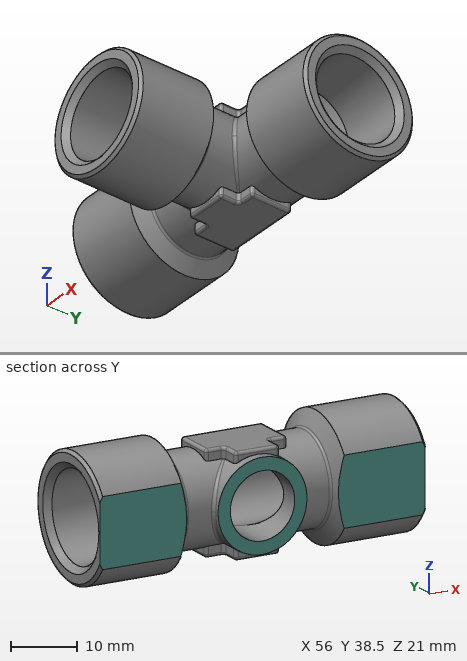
import cadquery as cq
import math

length = 56.0
reach = length / 2
socket_diameter = 21.0
socket_radius = socket_diameter / 2
socket_length = 14.0
rim_chamfer = 0.5

neck_radius = 7.7
shoulder_angle = 60.0
shoulder_fillet = 0.5
crotch_fillet = 0.5

bore_radius = 5.5
thread_radius = 7.5
mouth_radius = 8.5
thread_depth = 12.0
drill_angle = 60.0

pad_height = 8.5
pad_half_length = 7.0
pad_half_width = 3.8
pad_stem_reach = 7.2
pad_fillet = 0.5


def cone_length(large_radius, small_radius, angle):
    """Axial length of a cone whose side makes the given angle with its axis."""
    return (large_radius - small_radius) / math.tan(math.radians(angle))


def revolve_about_y(profile):
    """Close a half profile that starts and ends on the Y axis and spin it a full turn."""
    return profile.close().revolve(360, (0, 0, 0), (0, 1, 0))


def branch_body():
    """Neck, shoulder and socket of one branch, running from the origin toward -Y."""
    shoulder_start = -(reach - socket_length)
    shoulder_end = shoulder_start + cone_length(socket_radius, neck_radius, shoulder_angle)
    turn = math.radians(shoulder_angle)
    tangent_length = shoulder_fillet * math.tan(turn / 2)
    blend_end = (
        neck_radius + tangent_length * math.sin(turn),
        shoulder_end - tangent_length * math.cos(turn),
    )
    return revolve_about_y(
        cq.Workplane("XY")
        .lineTo(neck_radius, 0)
        .lineTo(neck_radius, shoulder_end + tangent_length)
        .tangentArcPoint(blend_end, relative=False)
        .lineTo(socket_radius, shoulder_start)
        .lineTo(socket_radius, -reach + rim_chamfer)
        .lineTo(socket_radius - rim_chamfer, -reach)
        .lineTo(0, -reach)
    )


def branch_bore():
    """Chamfered mouth, threaded length, drill cone and through bore of one branch."""
    mouth_end = -reach + mouth_radius - thread_radius
    thread_end = -reach + thread_depth
    drill_end = thread_end + cone_length(thread_radius, bore_radius, drill_angle)
    return revolve_about_y(
        cq.Workplane("XY")
        .lineTo(bore_radius, 0)
        .lineTo(bore_radius, drill_end)
        .lineTo(thread_radius, thread_end)
        .lineTo(thread_radius, mouth_end)
        .lineTo(mouth_radius, -reach)
        .lineTo(0, -reach)
    )


def tee(branch):
    """Join copies of a branch pointing toward -X, -Y and +X."""
    joined = branch
    for turn in (-90, 90):
        joined = joined.union(branch.rotate((0, 0, 0), (0, 0, 1), turn))
    return joined


def fillet_crotch(body):
    """Blend the elliptical seams, left exposed by the pads, where the side branch meets the run."""
    return body.edges("%ELLIPSE").fillet(crotch_fillet)


def wrench_pads():
    """T-shaped block with rounded edges, flat above and below."""
    outline = [
        (-pad_half_length, pad_half_width),
        (pad_half_length, pad_half_width),
        (pad_half_length, -pad_half_width),
        (pad_half_width, -pad_half_width),
        (pad_half_width, -pad_stem_reach),
        (-pad_half_width, -pad_stem_reach),
        (-pad_half_width, -pad_half_width),
        (-pad_half_length, -pad_half_width),
    ]
    block = cq.Workplane("XY").polyline(outline).close().extrude(pad_height, both=True)
    return block.edges("|Z").fillet(pad_fillet).faces("|Z").edges().fillet(pad_fillet)


body = tee(branch_body()).union(wrench_pads())
body = fillet_crotch(body)
result = body.cut(tee(branch_bore()))